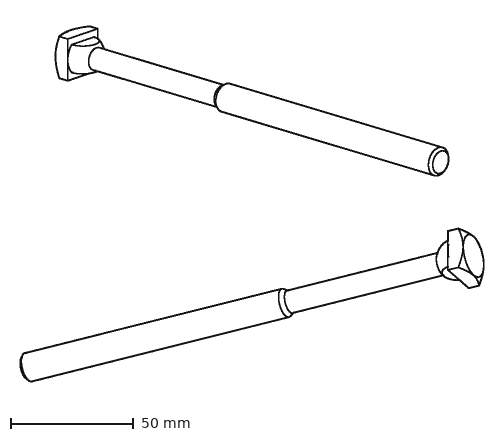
import cadquery as cq
import math

total_length = 207.0

head_width = 18.0
head_thickness = 7.0
head_face_diameter = 17.8
head_chamfer_angle = 30.0

neck_radius = head_width / 2
neck_height = 12.0

shank_diameter = 9.5
thread_diameter = 12.0
thread_length = 120.0
taper_length = 2.0
end_chamfer = 1.2


def make_head():
    block = cq.Workplane("YZ").rect(head_width, head_width).extrude(head_thickness)
    face_radius = head_face_diameter / 2
    slope = math.tan(math.radians(head_chamfer_angle))
    cone_end_radius = face_radius + head_thickness / slope
    cone = (
        cq.Workplane("XY")
        .polyline([(0, 0), (0, face_radius), (head_thickness, cone_end_radius), (head_thickness, 0)])
        .close()
        .revolve(360, (0, 0, 0), (1, 0, 0))
    )
    return block.intersect(cone)


def make_neck():
    sphere = cq.Workplane("XY").sphere(neck_radius).translate((head_thickness, 0, 0))
    slab = (
        cq.Workplane("XY")
        .box(neck_radius, head_width, neck_height, centered=(False, True, True))
        .translate((head_thickness, 0, 0))
    )
    return sphere.intersect(slab)


def make_shaft():
    shank_radius = shank_diameter / 2
    thread_radius = thread_diameter / 2
    thread_start = total_length - thread_length
    profile = (
        cq.Workplane("XY")
        .moveTo(head_thickness, 0)
        .lineTo(head_thickness, shank_radius)
        .lineTo(thread_start - taper_length, shank_radius)
        .lineTo(thread_start, thread_radius)
        .lineTo(total_length - end_chamfer, thread_radius)
        .lineTo(total_length, thread_radius - end_chamfer)
        .lineTo(total_length, 0)
        .close()
    )
    return profile.revolve(360, (0, 0, 0), (1, 0, 0))


result = make_head().union(make_neck()).union(make_shaft())